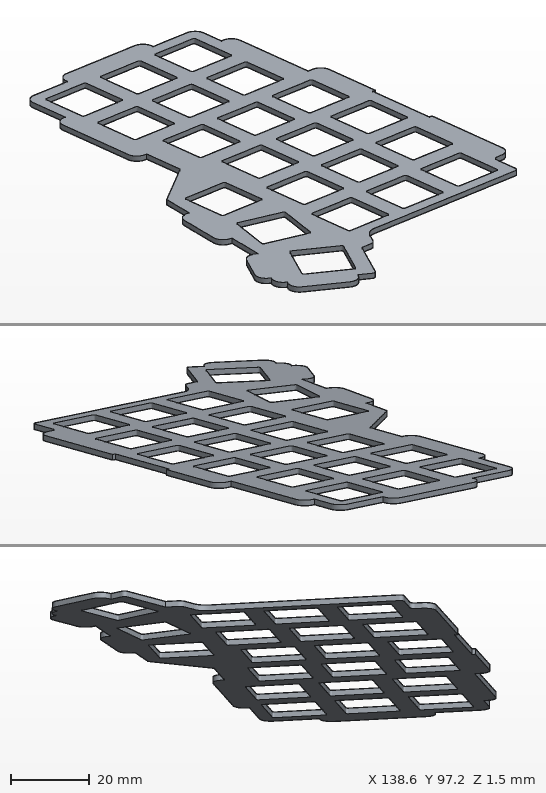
import cadquery as cq
import math

depth = 97.22
thickness = 1.5

pitch = 19.05
opening = 14.0
opening_radius = 0.5
rows = 3
column_stagger = [0, 0, pitch / 4, pitch * 3 / 8, pitch / 4, pitch / 8]
first_key_x = 14.2
first_key_y = 40.0

first_thumb_column = 3.5
second_thumb_tilt = 15
outer_thumb_tilt = 30
first_thumb_key = (first_key_x + first_thumb_column * pitch, 25.3)
second_thumb_key = (101.95, 22.75)
outer_thumb_key = (124.15, 18.8)

tab_depth = 3.6
long_tab = 29.9
short_tab = 18.4
key_margin = first_key_x - tab_depth

left_edge = tab_depth
left_tab_bottom = 44.3
left_shoulder_x = 13.1
left_shoulder_y = 89.0
top_step_x = 41.1
top_step_y = 92.7
notch_left = 61.0
notch_right = 81.8
notch_depth = 0.9
right_shoulder_x = 110.7
right_shoulder_y = 91.3
right_edge = 119.75
right_edge_bottom = 38.7
bottom_edge = 29.4
bottom_tab_left = 18.4
bottom_edge_end = 60.6

neck_x = 125.7

thumb_edge_start = (71.2, 14.6)
thumb_edge_tilt = 7.5
thumb_tab_start = 9.7
thumb_edge_length = 39.3

outer_top = 11.35
outer_bottom = -15.17
outer_tab_top = 6.6
outer_bottom_tab = 7.3

corner_radius = 3.0
inside_radius = 1.2
right_corner_radius = 1.0
neck_inside_radius = 4.0
neck_radius = 2.0
tip_radius = 1.0


def tilted_point(origin, tilt, along, across):
    """Point at (along, across) on axes turned clockwise by tilt degrees about origin."""
    angle = math.radians(tilt)
    x = origin[0] + along * math.cos(angle) + across * math.sin(angle)
    y = origin[1] - along * math.sin(angle) + across * math.cos(angle)
    return (x, y)


def outer_corner(along, across, radius=0):
    """Outline corner on the axes of the outer thumb key."""
    return (*tilted_point(outer_thumb_key, outer_thumb_tilt, along, across), radius)


def thumb_edge_corner(along, across, radius=0):
    """Outline corner on the axes of the sloping edge below the thumb keys."""
    return (*tilted_point(thumb_edge_start, thumb_edge_tilt, along, across), radius)


def rounded_outline(corners):
    """Closed wire through (x, y, radius) corners, each corner rounded by a tangent arc."""
    stretches = []
    for index, (x, y, radius) in enumerate(corners):
        corner = cq.Vector(x, y)
        before = cq.Vector(*corners[index - 1][:2])
        after = cq.Vector(*corners[(index + 1) % len(corners)][:2])
        if radius == 0:
            stretches.append([corner])
            continue
        back = (before - corner).normalized()
        ahead = (after - corner).normalized()
        half_angle = back.getAngle(ahead) / 2
        setback = radius / math.tan(half_angle)
        bisector = (back + ahead).normalized()
        middle = corner + bisector * (radius / math.sin(half_angle) - radius)
        stretches.append([corner + back * setback, middle, corner + ahead * setback])

    outline = cq.Workplane("XY").moveTo(*stretches[0][-1].toTuple()[:2])
    for stretch in stretches[1:] + stretches[:1]:
        outline = outline.lineTo(*stretch[0].toTuple()[:2])
        if len(stretch) > 1:
            outline = outline.threePointArc(stretch[1].toTuple()[:2], stretch[2].toTuple()[:2])
    return outline.close()


def left_side():
    """Corners from the lower left, around the left tab, up to the first shoulder."""
    left_tab_top = left_tab_bottom + long_tab
    return [
        (left_edge, bottom_edge, corner_radius),
        (left_edge, left_tab_bottom, 0),
        (0, left_tab_bottom, corner_radius),
        (0, left_tab_top, corner_radius),
        (left_edge, left_tab_top, 0),
        (left_edge, left_shoulder_y, corner_radius),
        (left_shoulder_x, left_shoulder_y, 0),
    ]


def top_side():
    """Corners along the stepped top edge with its shallow notch."""
    notch_floor = depth - notch_depth
    return [
        (left_shoulder_x, top_step_y, corner_radius),
        (top_step_x, top_step_y, 0),
        (top_step_x, depth, corner_radius),
        (notch_left, depth, 0),
        (notch_left, notch_floor, 0),
        (notch_right, notch_floor, 0),
        (notch_right, depth, 0),
        (right_shoulder_x, depth, corner_radius),
        (right_shoulder_x, right_shoulder_y, inside_radius),
    ]


def right_side():
    """Corners down the right edge and around the neck above the outer thumb key."""
    slope = math.tan(math.radians(outer_thumb_tilt))
    neck_top = right_edge_bottom - (neck_x - right_edge) * slope
    top_line_x, top_line_y = tilted_point(outer_thumb_key, outer_thumb_tilt, 0, outer_top)
    neck_bottom = top_line_y - (neck_x - top_line_x) * slope
    return [
        (right_edge, right_shoulder_y, right_corner_radius),
        (right_edge, right_edge_bottom, neck_inside_radius),
        (neck_x, neck_top, neck_radius),
        (neck_x, neck_bottom, 0),
    ]


def outer_thumb_side():
    """Corners around the tilted outer thumb key and its two tabs."""
    tab_outside = key_margin + tab_depth
    tab_bottom = outer_tab_top - short_tab
    bottom_tab_outside = outer_bottom - tab_depth
    return [
        outer_corner(key_margin, outer_top, tip_radius),
        outer_corner(key_margin, outer_tab_top),
        outer_corner(tab_outside, outer_tab_top, corner_radius),
        outer_corner(tab_outside, tab_bottom, corner_radius),
        outer_corner(key_margin, tab_bottom),
        outer_corner(key_margin, outer_bottom, corner_radius),
        outer_corner(outer_bottom_tab, outer_bottom),
        outer_corner(outer_bottom_tab, bottom_tab_outside, corner_radius),
        outer_corner(-outer_bottom_tab, bottom_tab_outside, corner_radius),
    ]


def bottom_side():
    """Corners along the sloping thumb edge, the diagonal and the bottom tab."""
    thumb_tab_end = thumb_tab_start + short_tab
    bottom_tab_right = bottom_tab_left + long_tab
    bottom_tab_edge = bottom_edge - tab_depth
    return [
        thumb_edge_corner(thumb_edge_length, 0),
        thumb_edge_corner(thumb_tab_end, 0),
        thumb_edge_corner(thumb_tab_end, -tab_depth, corner_radius),
        thumb_edge_corner(thumb_tab_start, -tab_depth, corner_radius),
        thumb_edge_corner(thumb_tab_start, 0),
        (*thumb_edge_start, 0),
        (bottom_edge_end, bottom_edge, 0),
        (bottom_tab_right, bottom_edge, 0),
        (bottom_tab_right, bottom_tab_edge, corner_radius),
        (bottom_tab_left, bottom_tab_edge, corner_radius),
        (bottom_tab_left, bottom_edge, 0),
    ]


def switch_opening(centre, tilt=0):
    """Cutter for one square switch opening, turned clockwise by tilt degrees."""
    cutter = cq.Workplane("XY").rect(opening, opening).extrude(thickness)
    cutter = cutter.edges("|Z").fillet(opening_radius)
    return cutter.rotate((0, 0, 0), (0, 0, 1), -tilt).translate((*centre, 0))


corners = left_side() + top_side() + right_side() + outer_thumb_side() + bottom_side()
result = rounded_outline(corners).extrude(thickness)

for column, stagger in enumerate(column_stagger):
    for row in range(rows):
        centre = (first_key_x + column * pitch, first_key_y + stagger + row * pitch)
        result = result.cut(switch_opening(centre))

result = result.cut(switch_opening(first_thumb_key))
result = result.cut(switch_opening(second_thumb_key, second_thumb_tilt))
result = result.cut(switch_opening(outer_thumb_key, outer_thumb_tilt))